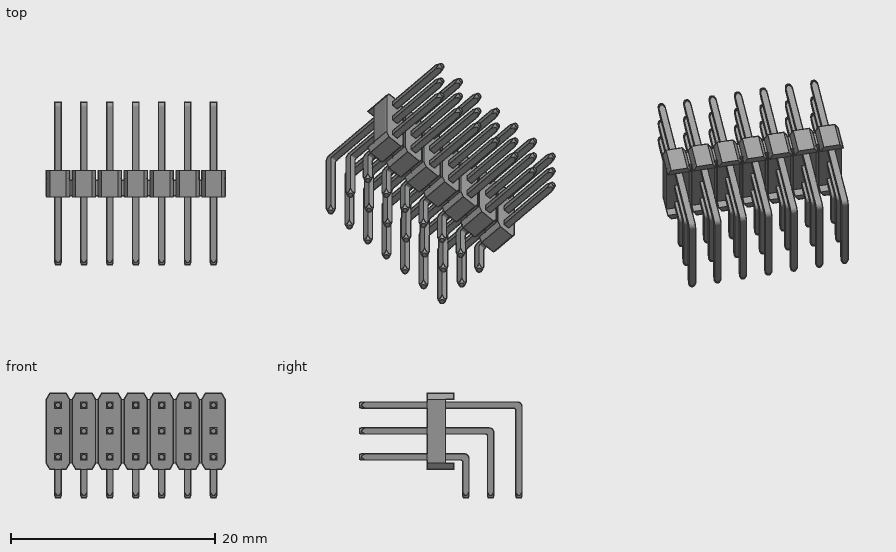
import cadquery as cq


COLUMNS = 7
PITCH = 2.54
MIDDLE_ROW_Z = 0.03

HOUSING_LENGTH = 17.55
CELL_WIDTH = HOUSING_LENGTH - (COLUMNS - 1) * PITCH
CELL_HEIGHT = 7.46
CELL_CHAMFER_X = 0.35
CELL_CHAMFER_Z = 0.61
HOUSING_DEPTH = 2.64
WALL_DEPTH = 1.83
TAPER_DEPTH = 0.14
TAPER_X = 0.04
SIDE_HEIGHT = CELL_HEIGHT - 2 * CELL_CHAMFER_Z

PIN_WIDTH = 0.64
PIN_FRONT_REACH = 6.63
TOTAL_HEIGHT = 10.25
LEG_TIP_Z = CELL_HEIGHT / 2 - TOTAL_HEIGHT
LEG_AXIS_Y = [3.80, 6.24, 9.00]
BEND_OUTER_RADIUS = 0.5
BEND_INNER_RADIUS = 0.15
TIP_END_RADIUS = 0.245
TIP_LENGTH = 0.6
PIN_CORNER_RADIUS = PIN_WIDTH / 2**0.5


def centred_positions(count):
    """Positions one pitch apart, spread evenly about zero."""
    return [(i - (count - 1) / 2) * PITCH for i in range(count)]


def tapered_block(depth, height, rear_taper_x):
    """Block of cell width that narrows toward its front, and by rear_taper_x toward its rear."""
    half_width = CELL_WIDTH / 2
    half_block = (
        cq.Workplane("XY", origin=(0, 0, -height / 2))
        .lineTo(half_width - TAPER_X, 0)
        .lineTo(half_width, TAPER_DEPTH)
        .lineTo(half_width, depth - TAPER_DEPTH)
        .lineTo(half_width - rear_taper_x, depth)
        .lineTo(0, depth)
        .close()
        .extrude(height)
    )
    return half_block.union(half_block.mirror("YZ"))


def make_cell():
    """One octagonal cell centred on X = 0: a tapered wall between a top and a bottom lip."""
    octagon = (
        cq.Workplane("XY")
        .box(CELL_WIDTH, HOUSING_DEPTH, CELL_HEIGHT, centered=(True, False, True))
        .edges("|Y")
        .chamfer(CELL_CHAMFER_Z, CELL_CHAMFER_X)
    )
    space_between_lips = cq.Workplane("XY").box(
        CELL_WIDTH, HOUSING_DEPTH, SIDE_HEIGHT, centered=(True, False, True)
    )
    lips = octagon.intersect(tapered_block(HOUSING_DEPTH, CELL_HEIGHT, 0)).cut(space_between_lips)
    return lips.union(tapered_block(WALL_DEPTH, SIDE_HEIGHT, TAPER_X))


def make_web():
    """Bar joining the cells, set in from the wall's front and rear by the taper depth."""
    return cq.Workplane("XY", origin=(0, TAPER_DEPTH, 0)).box(
        (COLUMNS - 1) * PITCH,
        WALL_DEPTH - 2 * TAPER_DEPTH,
        SIDE_HEIGHT,
        centered=(True, False, True),
    )


def tip_envelope(length):
    """Round envelope rising along Z from a cone that ends at the origin, to shape a pin end."""
    return (
        cq.Workplane("XZ")
        .lineTo(TIP_END_RADIUS, 0)
        .lineTo(PIN_CORNER_RADIUS, TIP_LENGTH)
        .lineTo(PIN_CORNER_RADIUS, length)
        .lineTo(0, length)
        .close()
        .revolve(360, (0, 0, 0), (0, 1, 0))
    )


def pointed_bar(length):
    """Square bar rising from a conical tip at the origin."""
    bar = cq.Workplane("XY").box(PIN_WIDTH, PIN_WIDTH, length, centered=(True, True, False))
    return bar.intersect(tip_envelope(length))


def make_pin(row_z, leg_y):
    """Bent pin on X = 0: a horizontal run along Y and a leg pointing down."""
    half = PIN_WIDTH / 2
    run = pointed_bar(PIN_FRONT_REACH).rotate((0, 0, 0), (1, 0, 0), -90)
    run = run.translate((0, -PIN_FRONT_REACH, row_z))
    leg_tip_length = 2 * TIP_LENGTH
    leg_base_z = LEG_TIP_Z + leg_tip_length
    leg_tip = pointed_bar(leg_tip_length).translate((0, leg_y, LEG_TIP_Z))
    elbow = (
        cq.Workplane("YZ", origin=(-half, 0, 0))
        .moveTo(0, row_z - half)
        .lineTo(leg_y - half, row_z - half)
        .lineTo(leg_y - half, leg_base_z)
        .lineTo(leg_y + half, leg_base_z)
        .lineTo(leg_y + half, row_z + half)
        .lineTo(0, row_z + half)
        .close()
        .extrude(PIN_WIDTH)
    )
    outer_corner = cq.selectors.NearestToPointSelector((0, leg_y + half, row_z + half))
    inner_corner = cq.selectors.NearestToPointSelector((0, leg_y - half, row_z - half))
    elbow = elbow.edges("|X").edges(outer_corner).fillet(BEND_OUTER_RADIUS)
    elbow = elbow.edges("|X").edges(inner_corner).fillet(BEND_INNER_RADIUS)
    return run.union(elbow).union(leg_tip).clean()


def make_column():
    """One cell with its stack of pins."""
    column = make_cell()
    for row_offset, leg_y in zip(centred_positions(len(LEG_AXIS_Y)), LEG_AXIS_Y):
        column = column.union(make_pin(MIDDLE_ROW_Z + row_offset, leg_y))
    return column


result = make_web()
column = make_column()
for column_x in centred_positions(COLUMNS):
    result = result.union(column.translate((column_x, 0, 0)))